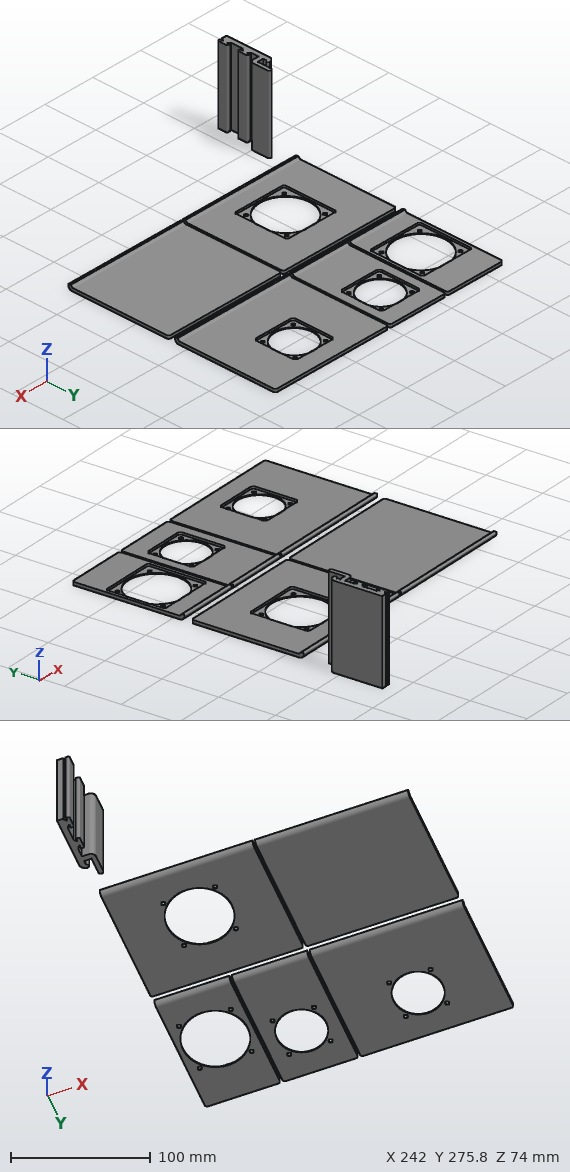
import cadquery as cq
import math

PLATE_LENGTH = 99.0
WIDE_PLATE = 118.0
PLATE_GAP_X = 2.0
NARROW_PLATE = (WIDE_PLATE - PLATE_GAP_X) / 2
ROW_GAP_Y = 6.0
PLATE_THICKNESS = 3.0
PLATE_CORNER_RADIUS = 2.0
LIP_INNER_RADIUS = 1.5
LIP_OUTER_RADIUS = 4.0
LIP_TIP_RADIUS = 0.8
LIP_HEIGHT = LIP_OUTER_RADIUS + LIP_TIP_RADIUS
LIP_BEND_Y = 5.0
PLATE_X = 4.0
UPPER_ROW_Y = 176.8
LOWER_ROW_Y = UPPER_ROW_Y - ROW_GAP_Y - PLATE_LENGTH
PLATE_Z = 1.0

RECESS_FLOOR = 1.0
SCREW_DIAMETER = 3.0
LARGE_FAN = dict(recess=52.0, recess_corner=2.0, bore=50.0, screw_pitch=40.0)
SMALL_FAN = dict(recess=41.0, recess_corner=3.0, bore=38.0, screw_pitch=32.0)
LARGE_FAN_Y = 45.5
SMALL_FAN_Y = 62.0

RAIL_HEIGHT = 74.0
WALL = 4.8
HOOK_TOP = 47.0
HOOK_RADIUS = 5.0
HOOK_REACH = 7.0
HOOK_NOSE_Y = 45.5
HOOK_NOSE_RADIUS = 0.7
HOOK_ROOT_Y = 43.3
SHELF_TOP = 40.5
SHELF_BOTTOM = 36.0
SHELF_CORNER_RADIUS = 4.0
ARM_OUTER_X = 14.2
ARM_INNER_X = 10.4
ARM_TOP = 55.5
ARM_RADIUS = (ARM_OUTER_X - ARM_INNER_X) / 2
TEE_HEIGHT = 9.5
TEE_PITCH = 19.7
TEE_FACE_X = 9.5
TEE_CORNER_RADIUS = 1.0
TEE_FLANGE_X = 6.5
SLOT_ROOT_DEPTH = 0.6
SLOT_END_X = 7.0
SLOT_END_DEPTH = 2.6
SLOT_END_CHAMFER = 0.5
SLOT_LIP = 1.0


def lipped_plate(x, y, width):
    """Flat plate with an upturned sloping lip along its -Y edge."""
    bend_end_y = LIP_BEND_Y - LIP_INNER_RADIUS * math.sqrt(0.5)
    bend_end_z = PLATE_THICKNESS + LIP_INNER_RADIUS * (1 - math.sqrt(0.5))
    slope_end_y = bend_end_y - (LIP_HEIGHT - bend_end_z)
    plate = (
        cq.Workplane("YZ")
        .moveTo(LIP_OUTER_RADIUS, 0)
        .lineTo(PLATE_LENGTH, 0)
        .lineTo(PLATE_LENGTH, PLATE_THICKNESS)
        .lineTo(LIP_BEND_Y, PLATE_THICKNESS)
        .radiusArc((bend_end_y, bend_end_z), LIP_INNER_RADIUS)
        .lineTo(slope_end_y, LIP_HEIGHT)
        .lineTo(LIP_TIP_RADIUS, LIP_HEIGHT)
        .radiusArc((0, LIP_OUTER_RADIUS), -LIP_TIP_RADIUS)
        .radiusArc((LIP_OUTER_RADIUS, 0), -LIP_OUTER_RADIUS)
        .close()
        .extrude(width)
    )
    plate = plate.edges("|Z and >Y").fillet(PLATE_CORNER_RADIUS)
    return plate.translate((x, y, PLATE_Z))


def cut_fan(plate, x, y, fan):
    """Square recess in the top face with a bore and four screw holes through its floor."""
    floor = PLATE_Z + RECESS_FLOOR
    recess = (
        cq.Workplane("XY", origin=(x, y, floor))
        .rect(fan["recess"], fan["recess"])
        .extrude(PLATE_THICKNESS)
        .edges("|Z")
        .fillet(fan["recess_corner"])
    )
    underside = cq.Workplane("XY", origin=(x, y, PLATE_Z))
    bore = underside.circle(fan["bore"] / 2).extrude(PLATE_THICKNESS)
    screw_holes = (
        underside
        .rect(fan["screw_pitch"], fan["screw_pitch"], forConstruction=True)
        .vertices()
        .circle(SCREW_DIAMETER / 2)
        .extrude(PLATE_THICKNESS)
    )
    return plate.cut(recess).cut(bore).cut(screw_holes)


def fan_plate(x, y, width, fan, fan_y):
    """Lipped plate with one fan cutout, centred across its width."""
    return cut_fan(lipped_plate(x, y, width), x + width / 2, y + fan_y, fan)


def rail_wall():
    """Flat wall whose rounded top turns into a short hook."""
    arc = HOOK_RADIUS * (1 - math.sqrt(0.5))
    return (
        cq.Workplane("XY")
        .lineTo(0, HOOK_TOP - HOOK_RADIUS)
        .threePointArc((arc, HOOK_TOP - arc), (HOOK_RADIUS, HOOK_TOP))
        .lineTo(HOOK_REACH, HOOK_NOSE_Y)
        .lineTo(WALL, HOOK_ROOT_Y)
        .lineTo(WALL, 0)
        .close()
        .extrude(RAIL_HEIGHT)
        .edges(cq.selectors.NearestToPointSelector((HOOK_REACH, HOOK_NOSE_Y, RAIL_HEIGHT / 2)))
        .fillet(HOOK_NOSE_RADIUS)
    )


def rail_arm():
    """Shelf that bends up into a round-ended arm."""
    return (
        cq.Workplane("XY")
        .moveTo(WALL, SHELF_BOTTOM)
        .lineTo(ARM_OUTER_X - SHELF_CORNER_RADIUS, SHELF_BOTTOM)
        .radiusArc((ARM_OUTER_X, SHELF_BOTTOM + SHELF_CORNER_RADIUS), -SHELF_CORNER_RADIUS)
        .lineTo(ARM_OUTER_X, ARM_TOP - ARM_RADIUS)
        .threePointArc((ARM_OUTER_X - ARM_RADIUS, ARM_TOP), (ARM_INNER_X, ARM_TOP - ARM_RADIUS))
        .lineTo(ARM_INNER_X, SHELF_TOP)
        .lineTo(WALL, SHELF_TOP)
        .close()
        .extrude(RAIL_HEIGHT)
    )


def rail_tee(y):
    """Tee whose flange is undercut by a slanted slot on both sides."""
    lower_half = [
        (WALL, TEE_HEIGHT / 2),
        (WALL, SLOT_ROOT_DEPTH),
        (SLOT_END_X - SLOT_END_CHAMFER, SLOT_END_DEPTH),
        (SLOT_END_X, SLOT_END_DEPTH - SLOT_END_CHAMFER),
        (TEE_FLANGE_X, SLOT_LIP),
        (TEE_FLANGE_X, 0),
        (TEE_FACE_X, 0),
        (TEE_FACE_X, TEE_HEIGHT / 2),
    ]
    half = cq.Workplane("XY").polyline(lower_half).close().extrude(RAIL_HEIGHT)
    half = half.edges("|Z and >X and <Y").fillet(TEE_CORNER_RADIUS)
    whole = half.union(half.mirror("XZ", (0, TEE_HEIGHT / 2, 0)))
    return whole.translate((0, y, 0))


def make_rail():
    """Hooked wall with its arm and two tees, all one solid."""
    rail = rail_wall().union(rail_arm())
    for tee_y in (0, TEE_PITCH):
        rail = rail.union(rail_tee(tee_y))
    return rail


right_x = PLATE_X + WIDE_PLATE + PLATE_GAP_X
middle_x = PLATE_X + NARROW_PLATE + PLATE_GAP_X

rail = make_rail()
blank_plate = lipped_plate(right_x, LOWER_ROW_Y, WIDE_PLATE)
wide_large_fan_plate = fan_plate(PLATE_X, LOWER_ROW_Y, WIDE_PLATE, LARGE_FAN, LARGE_FAN_Y)
wide_small_fan_plate = fan_plate(right_x, UPPER_ROW_Y, WIDE_PLATE, SMALL_FAN, SMALL_FAN_Y)
narrow_large_fan_plate = fan_plate(PLATE_X, UPPER_ROW_Y, NARROW_PLATE, LARGE_FAN, LARGE_FAN_Y)
narrow_small_fan_plate = fan_plate(middle_x, UPPER_ROW_Y, NARROW_PLATE, SMALL_FAN, SMALL_FAN_Y)

result = cq.Compound.makeCompound([
    rail.val(),
    blank_plate.val(),
    wide_large_fan_plate.val(),
    wide_small_fan_plate.val(),
    narrow_large_fan_plate.val(),
    narrow_small_fan_plate.val(),
])